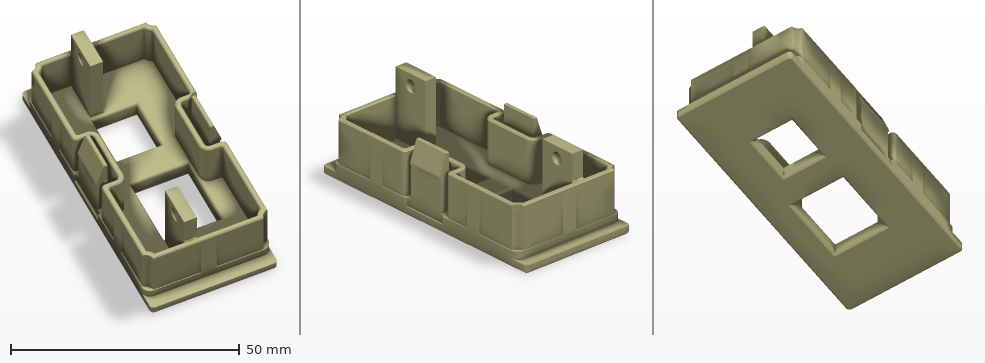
import cadquery as cq
PLATE_LENGTH = 67.0
PLATE_WIDTH = 30.7
PLATE_THICKNESS = 2.0
PLATE_CORNER_RADIUS = 1.0
BOTTOM_CHAMFER = 0.35

STEP_LENGTH = 61.0
FLOOR_Z = 4.0
CORNER_RADIUS = 2.0

WALL_LENGTH = 60.6
WALL_WIDTH = 30.2
WALL_THICKNESS = 1.3
WALL_TOP_Z = 15.0
WALL_TOP_CHAMFER = 0.25

RECESS_WIDTH = 13.7
RECESS_FLOOR_Y = 10.5
RECESS_OUTER_FILLET = 1.0
RECESS_INNER_FILLET = 0.5

RIB_WIDTH = 3.8
SIDE_RIB_BASE_DEPTH = (PLATE_WIDTH - WALL_WIDTH) / 2
END_RIB_BASE_DEPTH = 0.38
RIB_TOP_Z = WALL_TOP_Z - WALL_TOP_CHAMFER
LONG_SIDE_RIB_X = 15.9

CLIP_WIDTH = 9.7
CLIP_INNER_Y = 12.4
CLIP_TIP_OUTER_Y = 13.3
CLIP_TOP_Z = 18.5
CLIP_TIP_CHAMFER = 0.2
HOOK_DEPTH = 0.3
HOOK_BASE_Z = 12.5
HOOK_FACE_BOTTOM_Z = 12.7
HOOK_FACE_TOP_Z = 13.1
CLIP_POCKET_WIDTH = 12.1
CLIP_POCKET_DEPTH = 0.5

TAB_TOP_Z = 22.0
TAB_INNER_X = 19.2
TAB_FRONT_Y = -5.3
TAB_THICKNESS = 3.1
TAB_HOLE_DIAMETER = 3.2
TAB_HOLE_X = 24.0
TAB_HOLE_Z = 19.0
TAB_FOOT_SIZE = 0.4
TAB_WEDGE_SIZE = 0.35

WINDOWS = (
    (-18.2, -5.8, -5.25, 5.55),
    (1.55, 18.5, -5.25, 8.65),
)
WINDOW_FILLET = 0.6

SELECTION_MARGIN = 0.1

PLATE_HALF_Y = PLATE_WIDTH / 2
WALL_INNER_HALF_X = WALL_LENGTH / 2 - WALL_THICKNESS
TAB_BACK_Y = TAB_FRONT_Y + TAB_THICKNESS
CLIP_FACE_Y = PLATE_HALF_Y - CLIP_POCKET_DEPTH


def make_block(length, width, bottom_z, top_z):
    """Box centred on the Z axis between two heights."""
    return (
        cq.Workplane("XY")
        .workplane(offset=bottom_z)
        .rect(length, width)
        .extrude(top_z - bottom_z)
    )


def make_base():
    """Plate and step with both windows cut through; their edges are rounded on the floor side."""
    plate = make_block(PLATE_LENGTH, PLATE_WIDTH, 0, PLATE_THICKNESS)
    step = make_block(STEP_LENGTH, PLATE_WIDTH, PLATE_THICKNESS, FLOOR_Z)
    base = plate.edges("|Z").fillet(PLATE_CORNER_RADIUS).union(step.edges("|Z").fillet(CORNER_RADIUS))
    for left, right, front, back in WINDOWS:
        window = make_block(right - left, back - front, 0, FLOOR_Z)
        base = base.cut(window.translate(((left + right) / 2, (front + back) / 2, 0)))
    base = base.faces("<Z").chamfer(BOTTOM_CHAMFER)
    for left, right, front, back in WINDOWS:
        rim = cq.selectors.BoxSelector(
            (left - SELECTION_MARGIN, front - SELECTION_MARGIN, FLOOR_Z - SELECTION_MARGIN),
            (right + SELECTION_MARGIN, back + SELECTION_MARGIN, FLOOR_Z + SELECTION_MARGIN),
        )
        base = base.edges(rim).fillet(WINDOW_FILLET)
    return base


def make_corner_scoops(radius):
    """Cylinders at the corners of the step that scoop out the wall corners."""
    return (
        cq.Workplane("XY")
        .workplane(offset=FLOOR_Z)
        .rect(STEP_LENGTH, PLATE_WIDTH, forConstruction=True)
        .vertices()
        .circle(radius)
        .extrude(WALL_TOP_Z - FLOOR_Z)
    )


def make_wall_prism(inset, mouth_fillet, bottom_fillet):
    """Square-cornered prism of the wall outline moved inward, with both clip recesses."""
    prism = make_block(WALL_LENGTH - 2 * inset, WALL_WIDTH - 2 * inset, FLOOR_Z, WALL_TOP_Z)
    recess_width = RECESS_WIDTH + 2 * inset
    recess_floor_y = RECESS_FLOOR_Y - inset
    recess_depth = PLATE_HALF_Y - recess_floor_y
    recess = make_block(recess_width, recess_depth, FLOOR_Z, WALL_TOP_Z)
    recess_centre_y = recess_floor_y + recess_depth / 2
    for side in (-1, 1):
        prism = prism.cut(recess.translate((0, side * recess_centre_y, 0)))

    mouth_y = WALL_WIDTH / 2 - inset
    for y, radius in ((mouth_y, mouth_fillet), (recess_floor_y, bottom_fillet)):
        for side in (-1, 1):
            recess_edges = cq.selectors.BoxSelector(
                (-recess_width, side * y - SELECTION_MARGIN, FLOOR_Z),
                (recess_width, side * y + SELECTION_MARGIN, WALL_TOP_Z),
            )
            prism = prism.edges("|Z").edges(recess_edges).fillet(radius)
    return prism


def make_wall():
    """Wall with both top edges chamfered, except around the outside of the scooped corners."""
    outer = make_wall_prism(0, RECESS_OUTER_FILLET, RECESS_OUTER_FILLET)
    inner = make_wall_prism(WALL_THICKNESS, RECESS_INNER_FILLET, RECESS_OUTER_FILLET + WALL_THICKNESS)
    inner = inner.cut(make_corner_scoops(CORNER_RADIUS + WALL_THICKNESS))
    wall = outer.cut(inner).faces(">Z").chamfer(WALL_TOP_CHAMFER)
    return wall.cut(make_corner_scoops(CORNER_RADIUS))


def make_rib(wall_half_size, base_depth):
    """Rib on the +X side of a wall face, thinning out towards the wall top."""
    return (
        cq.Workplane("XZ")
        .moveTo(wall_half_size - WALL_THICKNESS / 2, FLOOR_Z)
        .lineTo(wall_half_size + base_depth, FLOOR_Z)
        .lineTo(wall_half_size, RIB_TOP_Z)
        .lineTo(wall_half_size - WALL_THICKNESS / 2, RIB_TOP_Z)
        .close()
        .extrude(RIB_WIDTH / 2, both=True)
    )


def add_ribs(body):
    """Join one rib to each end wall and two to each long wall."""
    end_rib = make_rib(WALL_LENGTH / 2, END_RIB_BASE_DEPTH)
    side_rib = make_rib(WALL_WIDTH / 2, SIDE_RIB_BASE_DEPTH).rotate((0, 0, 0), (0, 0, 1), 90)
    ribs = [end_rib]
    for x in (-LONG_SIDE_RIB_X, LONG_SIDE_RIB_X):
        ribs.append(side_rib.translate((x, 0, 0)))
    for rib in ribs:
        body = body.union(rib).union(rib.rotate((0, 0, 0), (0, 0, 1), 180))
    return body


def make_clip():
    """Snap clip on the +Y side, with a hook and a sloped lead-in up to a chamfered tip."""
    clip = (
        cq.Workplane("YZ")
        .moveTo(CLIP_INNER_Y, PLATE_THICKNESS)
        .lineTo(CLIP_FACE_Y, PLATE_THICKNESS)
        .lineTo(CLIP_FACE_Y, HOOK_BASE_Z)
        .lineTo(CLIP_FACE_Y + HOOK_DEPTH, HOOK_FACE_BOTTOM_Z)
        .lineTo(CLIP_FACE_Y + HOOK_DEPTH, HOOK_FACE_TOP_Z)
        .lineTo(CLIP_TIP_OUTER_Y, CLIP_TOP_Z)
        .lineTo(CLIP_INNER_Y, CLIP_TOP_Z)
        .close()
        .extrude(CLIP_WIDTH / 2, both=True)
    )
    return clip.faces(">Z").chamfer(CLIP_TIP_CHAMFER)


def add_clips(body):
    """Cut a shallow pocket into each long side of the step and stand a clip in it."""
    pocket = make_block(CLIP_POCKET_WIDTH, CLIP_POCKET_DEPTH, PLATE_THICKNESS, FLOOR_Z)
    pocket = pocket.translate((0, PLATE_HALF_Y - CLIP_POCKET_DEPTH / 2, 0))
    clip = make_clip()
    for angle in (0, 180):
        body = body.cut(pocket.rotate((0, 0, 0), (0, 0, 1), angle))
        body = body.union(clip.rotate((0, 0, 0), (0, 0, 1), angle))
    return body


def make_tab():
    """Screw tab at the +X end, sunk into the end wall, with a wedge on the wall top and a foot."""
    tab = (
        cq.Workplane("XZ", origin=(0, TAB_BACK_Y, 0))
        .moveTo(TAB_INNER_X, FLOOR_Z)
        .lineTo(WALL_INNER_HALF_X + TAB_WEDGE_SIZE, FLOOR_Z)
        .lineTo(WALL_INNER_HALF_X + TAB_WEDGE_SIZE, WALL_TOP_Z)
        .lineTo(WALL_INNER_HALF_X, WALL_TOP_Z + TAB_WEDGE_SIZE)
        .lineTo(WALL_INNER_HALF_X, TAB_TOP_Z)
        .lineTo(TAB_INNER_X, TAB_TOP_Z)
        .close()
        .extrude(TAB_THICKNESS)
    )
    hole = (
        cq.Workplane("XZ", origin=(0, TAB_BACK_Y, 0))
        .center(TAB_HOLE_X, TAB_HOLE_Z)
        .circle(TAB_HOLE_DIAMETER / 2)
        .extrude(TAB_THICKNESS)
    )
    foot = (
        cq.Workplane("YZ", origin=(TAB_INNER_X, 0, 0))
        .moveTo(TAB_BACK_Y, FLOOR_Z)
        .lineTo(TAB_BACK_Y + TAB_FOOT_SIZE, FLOOR_Z)
        .lineTo(TAB_BACK_Y, FLOOR_Z + TAB_FOOT_SIZE)
        .close()
        .extrude(WALL_INNER_HALF_X - TAB_INNER_X)
    )
    return tab.cut(hole).union(foot)


def add_tabs(body):
    """Join a screw tab at each end."""
    tab = make_tab()
    return body.union(tab).union(tab.mirror("YZ"))


body = make_base().union(make_wall())
body = add_ribs(body)
body = add_clips(body)
result = add_tabs(body)